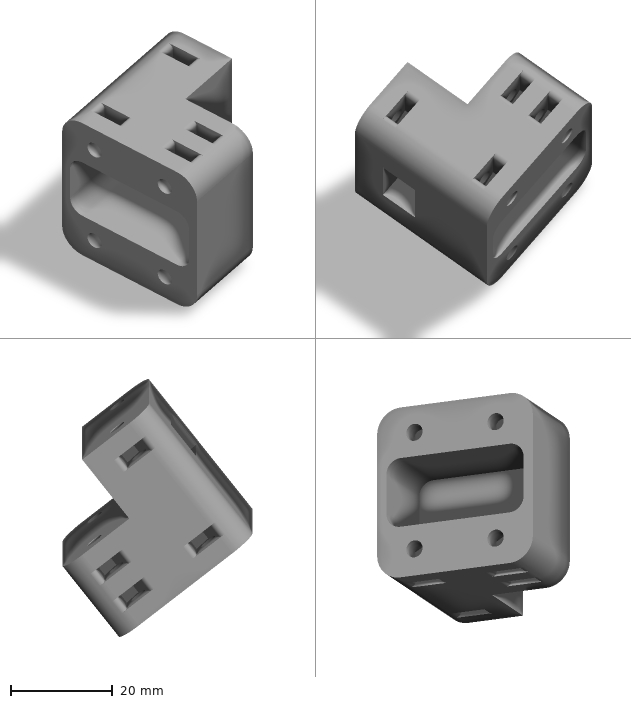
import cadquery as cq
import math

WIDTH = 33.5
DEPTH = 33.0
HEIGHT = 35.0
CORNER_RADIUS = 5.0
LEG_WIDTH = WIDTH / 2
FRONT_DEPTH = 18.0
WALL = 2.0

POCKET_WIDTH = WIDTH - 2 * WALL
POCKET_HEIGHT = 14.15
POCKET_RADIUS = 3.0
POCKET_DEPTH = FRONT_DEPTH - WALL

WINDOW_DEPTH = 8.0
WINDOW_HEIGHT = 12.08

HOLE_DIAMETER = 3.5
HOLE_INSET_X = 8.0
HOLE_INSET_Z = 5.5

NUT_FLATS = 5.7
SLOT_THICKNESS = 3.0
SLOT_INSET_Y = 4.0
MOUTH_RADIUS = 1.0

LEFT_HOLE_X = HOLE_INSET_X
RIGHT_HOLE_X = WIDTH - HOLE_INSET_X


def rear_slot_y(end_y):
    """Near side of the slot that lies one inset in front of the end face at end_y."""
    return end_y - SLOT_INSET_Y - SLOT_THICKNESS


def make_body():
    block = (
        cq.Workplane("XY")
        .box(WIDTH, DEPTH, HEIGHT, centered=False)
        .edges("|Y")
        .fillet(CORNER_RADIUS)
    )
    notch = (
        cq.Workplane("XY")
        .box(WIDTH - LEG_WIDTH, DEPTH - FRONT_DEPTH, HEIGHT, centered=False)
        .translate((LEG_WIDTH, FRONT_DEPTH, 0))
    )
    return block.cut(notch)


def make_pocket():
    return (
        cq.Workplane("XY")
        .box(POCKET_WIDTH, POCKET_DEPTH, POCKET_HEIGHT, centered=(True, False, True))
        .edges("|Y")
        .fillet(POCKET_RADIUS)
        .translate((WIDTH / 2, 0, HEIGHT / 2))
    )


def make_window():
    return (
        cq.Workplane("XY")
        .box(LEG_WIDTH, WINDOW_DEPTH, WINDOW_HEIGHT, centered=(False, False, True))
        .translate((0, FRONT_DEPTH, HEIGHT / 2))
    )


def make_screw_hole(x):
    """Upper screw hole, running through the whole depth."""
    return (
        cq.Workplane("XZ", origin=(x, 0, HEIGHT - HOLE_INSET_Z))
        .circle(HOLE_DIAMETER / 2)
        .extrude(-DEPTH)
    )


def make_nut_slot(x, y, outward):
    """Slot open to the top, with a hexagonal nut seat around the upper screw hole.

    outward is the X direction, -1 or 1, from the screw line to the nearer side face.
    The inner mouth rounding runs into the flat top. The outer one runs into the rounded
    long edge of the body, so its arc touches that larger arc from the inside.
    """
    half_nut = NUT_FLATS / 2
    axis_z = HEIGHT - HOLE_INSET_Z
    point_z = axis_z - NUT_FLATS / math.sqrt(3)
    shoulder_z = axis_z - half_nut / math.sqrt(3)
    arc_center = half_nut + MOUTH_RADIUS

    corner_center = HOLE_INSET_X - CORNER_RADIUS
    corner_center_z = HEIGHT - CORNER_RADIUS
    outer_tilt = math.asin((arc_center - corner_center) / (CORNER_RADIUS - MOUTH_RADIUS))
    outer_center_z = corner_center_z + (CORNER_RADIUS - MOUTH_RADIUS) * math.cos(outer_tilt)
    inner_center_z = HEIGHT - MOUTH_RADIUS

    def mouth_point(side, center_z, tilt):
        """Point on a mouth arc; tilt leans from straight up away from the slot."""
        across = arc_center + MOUTH_RADIUS * math.sin(tilt)
        return (side * across, center_z + MOUTH_RADIUS * math.cos(tilt))

    wall_tilt = -math.pi / 2
    outer_end = mouth_point(outward, outer_center_z, outer_tilt)
    outer_middle = mouth_point(outward, outer_center_z, (wall_tilt + outer_tilt) / 2)
    inner_end = mouth_point(-outward, inner_center_z, 0)
    inner_middle = mouth_point(-outward, inner_center_z, wall_tilt / 2)

    return (
        cq.Workplane("XZ", origin=(x, y, 0))
        .moveTo(0, point_z)
        .lineTo(outward * half_nut, shoulder_z)
        .lineTo(outward * half_nut, outer_center_z)
        .threePointArc(outer_middle, outer_end)
        .lineTo(outer_end[0], HEIGHT)
        .lineTo(*inner_end)
        .threePointArc(inner_middle, (-outward * half_nut, inner_center_z))
        .lineTo(-outward * half_nut, shoulder_z)
        .close()
        .extrude(-SLOT_THICKNESS)
    )


result = make_body().cut(make_pocket()).cut(make_window())

for hole_x, outward, end_y in ((LEFT_HOLE_X, -1, DEPTH), (RIGHT_HOLE_X, 1, FRONT_DEPTH)):
    fastener = make_screw_hole(hole_x)
    for slot_y in (SLOT_INSET_Y, rear_slot_y(end_y)):
        fastener = fastener.union(make_nut_slot(hole_x, slot_y, outward))
    result = result.cut(fastener).cut(fastener.mirror("XY", (0, 0, HEIGHT / 2)))